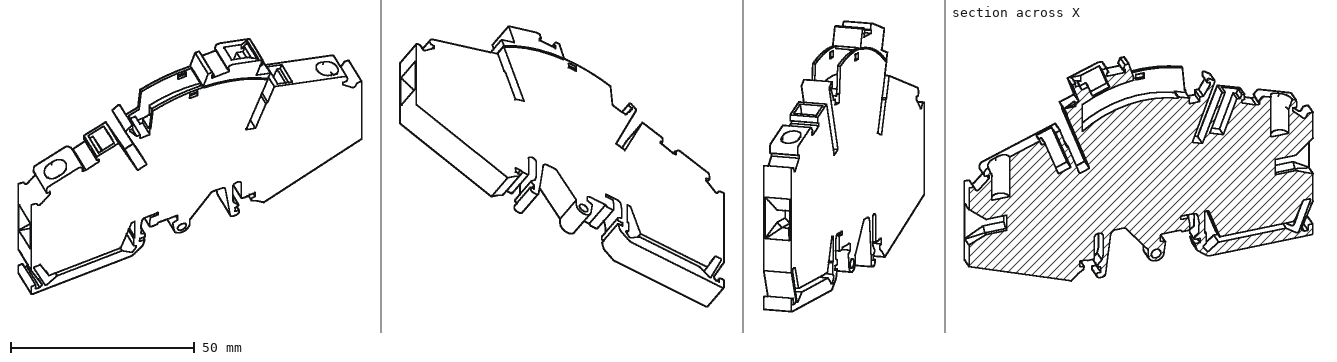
import cadquery as cq
import math

WIDTH = 8.1
LENGTH = 100.0
HEIGHT = 68.0
END = LENGTH / 2
SLOPE = 20.0

DOME_Y = -1.0
DOME_Z = 25.2
DOME_RADIUS = 37.8
SLOT_FLOOR_INNER_LEFT = (15.0, 36.7)
SLOT_FLOOR_INNER_RIGHT = (-15.0, 38.2)

HOLLOW_WIDTH = 6.5
DRUM_RADIUS = 30.0
HOLLOW_ROOF_RADIUS = 37.2
HOLLOW_START_Y = 17.0
HOLLOW_OPEN_Y = 2.1
DRUM_END_Y = -10.8
LEDGE_END_Y = -14.1
LEDGE_TOP_Z = 54.0
WELL_END_Y = -14.9
WELL_WIDTH = 2.8
WELL_FLOOR_Z = 49.0
NOTCH_END_Y = -17.0
NOTCH_FLOOR_Z = 51.0
SEAM_WIDTH = 0.3
SEAM_DEPTH = 0.2
SEAM_START_Y = 21.0
WINDOW_SIZE = (2.4, 1.7)
WINDOW_CENTER = (-0.8, 61.1)

SHAFT_RIMS = {1: (40.7, 44.9), -1: (-40.3, 46.7)}
SHAFT_X = 0.4
SHAFT_DIAMETER = 5.0
SHAFT_DEPTH = 12.0
MOUTH_SHIFT = 1.4

SOCKET_RIMS = {1: (27.1, 49.7), -1: (-26.9, 51.4)}
SOCKET_LENGTHS = {1: 4.7, -1: 5.0}
SOCKET_WIDTH = 6.5
SOCKET_DEPTH = 13.0
SOCKET_LEDGE_LENGTH = 1.0
SOCKET_LEDGE_DEPTH = 1.5

FUNNEL_SIZE = (7.1, 11.5)
FUNNEL_Z = 25.6
THROAT_SIZE = (4.7, 4.8)
FUNNEL_CORNER = 0.1
THROAT_CORNER = 1.4
THROAT_X = 0.3
THROAT_Z = 24.5
FUNNEL_DEPTH = 5.0
THROAT_DEPTH = 6.0

MARKER_SOCKET_RIM = (14.8, 66.7)
MARKER_SOCKET_WIDTH = 4.8
MARKER_SOCKET_LENGTH = 7.2
MARKER_SOCKET_DEPTH = 6.5
MARKER_LEDGE_LENGTH = 2.0
MARKER_LEDGE_DEPTH = 3.0
FLARE_FLOOR_Z = 64.2
FLARE_WIDTH = 7.1
FLARE_Y = (16.7, 19.0)
LIP_RECESS_Z = (57.8, 58.8)
LIP_RECESS_WIDTHS = (2.6, 1.2)
LIP_RECESS_Y = (19.0, 21.7)

PIVOT = (-4.4, 4.4)
PIVOT_RADIUS = 2.4
PIVOT_HOLE_DIAMETER = 2.6


def unit(start, end):
    """Unit vector and distance from start to end."""
    dy, dz = end[0] - start[0], end[1] - start[1]
    size = math.hypot(dy, dz)
    return dy / size, dz / size, size


def plate(corners, width=WIDTH):
    """Prism across X; each corner is (y, z) or (y, z, fillet radius)."""
    count = len(corners)
    pieces = []
    for i, corner in enumerate(corners):
        y, z = corner[:2]
        radius = corner[2] if len(corner) > 2 else 0
        if radius == 0:
            pieces.append(((y, z),))
            continue
        ay, az, _ = unit(corner, corners[i - 1])
        by, bz, _ = unit(corner, corners[(i + 1) % count])
        half = math.acos(ay * by + az * bz) / 2
        setback = radius / math.tan(half)
        my, mz, _ = unit((0, 0), (ay + by, az + bz))
        reach = radius / math.sin(half) - radius
        pieces.append((
            (y + ay * setback, z + az * setback),
            (y + my * reach, z + mz * reach),
            (y + by * setback, z + bz * setback),
        ))
    profile = cq.Workplane("YZ").moveTo(*pieces[0][-1])
    for piece in pieces[1:] + pieces[:1]:
        profile = profile.lineTo(*piece[0])
        if len(piece) == 3:
            profile = profile.threePointArc(piece[1], piece[2])
    return profile.close().extrude(width / 2, both=True)


def disc(y, z, radius, width=WIDTH):
    return cq.Workplane("YZ").center(y, z).circle(radius).extrude(width / 2, both=True)


def box(y_min, y_max, z_min, z_max, width):
    return plate([(y_min, z_min), (y_max, z_min), (y_max, z_max), (y_min, z_max)], width)


def make_body():
    left_end = [
        (20.3, 1.2), (END, 12.7, 0.4), (END, 38.4, 0.4), (48.5, 38.4, 0.5), (47.7, 36.6, 0.6),
        (44.2, 40.1), (44.2, 41.0), (45.3, 41.0, 0.3), (46.3, 42.9, 1.6), (23.5, 51.0),
    ]
    slots = [
        (21.5, 45.2), (21.0, 44.8), (17.8, 35.7), SLOT_FLOOR_INNER_LEFT,
        SLOT_FLOOR_INNER_RIGHT, (-17.8, 37.2), (-23.5, 52.5),
    ]
    right_shoulder = [
        (-30.1, 50.2), (-30.1, 48.6), (-29.4, 48.4), (-29.4, 47.7), (-33.4, 46.1), (-34.4, 46.1),
        (-34.4, 46.9), (-34.0, 47.1), (-35.3, 48.5, 0.7), (-45.2, 45.0, 0.9), (-45.4, 42.5, 0.5),
        (-44.2, 42.5), (-44.2, 41.6), (-47.6, 38.2, 0.5), (-48.4, 39.8, 0.4), (-END, 40.0, 0.3),
    ]
    right_foot = [
        (-END, 10.9), (-46.6, 2.5, 0.4), (-47.4, 1.8), (-48.5, 1.8), (-48.5, 3.6, 0.4),
        (-END, 3.6, 0.4), (-END, 0.0, 0.5), (-19.5, 0.0, 1.5), (-16.2, 2.7, 1.8), (-15.6, 5.1),
        (-17.1, 5.1), (-17.1, 6.3), (-15.5, 6.3, 0.2), (-15.5, 7.5, 0.4), (-16.7, 8.2, 0.4),
        (-16.8, 11.6), (-16.3, 14.8, 1.2),
    ]
    pivot_foot = [
        (-11.6, 14.8), (-11.6, 13.9), (-13.9, 13.9), (-14.2, 12.0), (-14.2, 9.7, 0.5),
        (-11.9, 9.7, 0.3), (-11.5, 10.3), (-5.6, 10.3, 0.7), (-5.6, 8.3), (-7.2, 7.6, 0.3),
        (PIVOT[0] - PIVOT_RADIUS, PIVOT[1]), (PIVOT[0] + PIVOT_RADIUS, PIVOT[1]), (-2.0, 6.2),
    ]
    snap_leg = [
        (4.6, 14.8, 0.5), (8.6, 14.8, 1.3), (10.3, 0.3, 1.1), (12.9, 0.3, 1.1), (12.9, 2.1, 0.2),
        (11.7, 2.1), (11.7, 3.6), (12.9, 4.4, 0.3), (11.4, 6.1), (11.0, 7.8), (11.0, 14.8, 1.2),
        (13.5, 14.8, 1.2), (13.5, 6.7, 0.4), (15.4, 6.7), (16.1, 7.0), (17.7, 7.0), (17.7, 5.4),
        (16.4, 5.1, 0.2), (16.6, 4.1, 0.4), (18.2, 3.1),
    ]
    body = plate(left_end + slots + right_shoulder + right_foot + pivot_foot + snap_leg)
    spring_gap = plate([
        (-18.6, 14.8), (-19.6, 14.8, 0.4), (-22.9, 5.5), (-44.6, 5.5), (-47.2, 11.8),
        (-49.3, 11.8, 0.3), (-45.6, 1.5, 0.5), (-42.1, 4.0), (-22.5, 4.0), (-19.4, 1.5, 0.5),
        (-18.0, 3.5, 0.5), (-19.0, 4.3), (-19.0, 7.5), (-18.6, 7.8),
    ])
    return (
        body.cut(spring_gap)
        .union(disc(*PIVOT, PIVOT_RADIUS))
        .cut(disc(*PIVOT, PIVOT_HOLE_DIAMETER / 2))
    )


def make_tower():
    sides = plate([
        SLOT_FLOOR_INNER_LEFT, (25.0, 65.0), (-12.8, 65.0), (-13.8, 53.5, 0.3), (-17.0, 52.5),
        (-18.1, 52.5), (-20.1, 55.9), (-20.1, 56.4), (-19.2, 56.4, 0.3), (-19.2, 58.3, 0.4),
        (-21.6, 56.6, 0.4), SLOT_FLOOR_INNER_RIGHT,
    ])
    return sides.intersect(disc(DOME_Y, DOME_Z, DOME_RADIUS))


def make_marker_block():
    return plate([
        (22.3, 57.7), (18.1, 59.2), (20.0, 64.9), (11.1, HEIGHT, 0.6), (9.9, HEIGHT, 0.4), (9.4, 66.6),
        (9.9, 66.3), (9.9, 65.5), (4.7, 65.5), (4.7, 66.4), (5.3, 66.4), (4.7, HEIGHT),
        (3.5, HEIGHT), (1.9, 62.8), (18.0, 54.0), (21.0, 54.5),
    ])


def cut_hollow(part):
    drum = disc(DOME_Y, DOME_Z, DRUM_RADIUS, HOLLOW_WIDTH)
    under_block = box(DRUM_END_Y, HOLLOW_START_Y, DOME_Z, HEIGHT, HOLLOW_WIDTH)
    under_block = under_block.intersect(disc(DOME_Y, DOME_Z, HOLLOW_ROOF_RADIUS, HOLLOW_WIDTH))
    opening = box(DRUM_END_Y, HOLLOW_OPEN_Y, DOME_Z, DOME_Z + DOME_RADIUS, HOLLOW_WIDTH)
    window = cq.Workplane("YZ").center(*WINDOW_CENTER).rect(*WINDOW_SIZE).extrude(WIDTH, both=True)
    return part.cut(under_block.union(opening).cut(drum)).cut(window)


def cut_notch(part):
    """Stepped recess between the drum and the hook, open through the +X wall at its end."""
    wall_x = HOLLOW_WIDTH / 2
    ledge_drop = (DRUM_END_Y - LEDGE_END_Y) * math.tan(math.radians(SLOPE))
    above_ledge = plate([
        (DRUM_END_Y, LEDGE_TOP_Z), (DRUM_END_Y, HEIGHT), (LEDGE_END_Y, HEIGHT),
        (LEDGE_END_Y, LEDGE_TOP_Z - ledge_drop),
    ], HOLLOW_WIDTH)
    end_width = WIDTH / 2 + wall_x
    end = box(NOTCH_END_Y, LEDGE_END_Y, NOTCH_FLOOR_Z, HEIGHT, end_width)
    end = end.translate((end_width / 2 - wall_x, 0, 0))
    well = box(WELL_END_Y, DRUM_END_Y, WELL_FLOOR_Z, HEIGHT, WELL_WIDTH)
    well = well.translate((WELL_WIDTH / 2 - wall_x, 0, 0))
    return part.cut(above_ledge).cut(end).cut(well)


def cut_seams(part):
    """Fine arc groove on both side faces where the marker block sits on the dome."""
    ring = disc(DOME_Y, DOME_Z, DOME_RADIUS).cut(disc(DOME_Y, DOME_Z, DOME_RADIUS - SEAM_WIDTH))
    core = box(-END, END, 0, HEIGHT, WIDTH - 2 * SEAM_DEPTH)
    stretch = box(HOLLOW_OPEN_Y, SEAM_START_Y, DOME_Z, HEIGHT, WIDTH)
    return part.cut(ring.intersect(stretch).cut(core))


def tilted_plane(side, y, z):
    """Plane on a shoulder with local x along +X and its normal leaning towards the end face."""
    angle = math.radians(SLOPE)
    return cq.Plane((0, y, z), (1, 0, 0), (0, side * math.sin(angle), math.cos(angle)))


def cut_shaft(part, side, y, z):
    """Screw shaft whose bore axis meets the sloped surface at (y, z)."""
    bore = cq.Workplane("XY", origin=(SHAFT_X, y, z + SHAFT_DIAMETER))
    bore = bore.circle(SHAFT_DIAMETER / 2).extrude(-SHAFT_DEPTH - SHAFT_DIAMETER)
    drop = MOUTH_SHIFT / math.tan(math.radians(SLOPE))
    mouth = cq.Workplane(tilted_plane(side, y, z - drop)).center(SHAFT_X, 0)
    mouth = mouth.circle(SHAFT_DIAMETER / 2).extrude(2 * drop)
    return part.cut(bore).cut(mouth)


def cut_socket(part, side, y, z, length, width, depth, ledge_length, ledge_depth):
    """Tilted rectangular socket with its rim centred on (y, z) and a ledge at its outer end."""
    plane = tilted_plane(side, y, z)
    rim = cq.Workplane(plane).rect(width, length).extrude(ledge_depth, both=True)
    bore = cq.Workplane(plane).center(0, -side * ledge_length / 2)
    bore = bore.rect(width, length - ledge_length).extrude(-depth)
    return part.cut(rim).cut(bore)


def cut_shoulder_socket(part, side):
    return cut_socket(
        part, side, *SOCKET_RIMS[side], SOCKET_LENGTHS[side], SOCKET_WIDTH, SOCKET_DEPTH,
        SOCKET_LEDGE_LENGTH, SOCKET_LEDGE_DEPTH,
    )


def funnel_section(size, corner, center=(0, 0)):
    """Rectangle with both lower corners cut off, as a list of points."""
    x, y = center
    half_width, half_height = size[0] / 2, size[1] / 2
    return [
        (x - half_width, y + half_height),
        (x - half_width, y - half_height + corner),
        (x - half_width + corner, y - half_height),
        (x + half_width - corner, y - half_height),
        (x + half_width, y - half_height + corner),
        (x + half_width, y + half_height),
    ]


def cut_funnel(part, side):
    plane = cq.Plane((0, side * END, FUNNEL_Z), (-side, 0, 0), (0, side, 0))
    mouth = funnel_section(FUNNEL_SIZE, FUNNEL_CORNER)
    throat = funnel_section(THROAT_SIZE, THROAT_CORNER, (-side * THROAT_X, THROAT_Z - FUNNEL_Z))
    funnel = cq.Workplane(plane).polyline(mouth).close()
    funnel = funnel.workplane(offset=-FUNNEL_DEPTH).polyline(throat).close().loft(ruled=True)
    bore = cq.Workplane(plane).workplane(offset=-FUNNEL_DEPTH)
    bore = bore.polyline(throat).close().extrude(-THROAT_DEPTH)
    return part.cut(funnel).cut(bore)


def flared_cutter(widths, y_range, floor_z):
    """Upright cutter reaching the top, with a trapezoid footprint across the given Y range."""
    near, far = widths[0] / 2, widths[1] / 2
    footprint = [(-near, y_range[0]), (near, y_range[0]), (far, y_range[1]), (-far, y_range[1])]
    return cq.Workplane("XY", origin=(0, 0, floor_z)).polyline(footprint).close().extrude(HEIGHT - floor_z)


def cut_marker_socket(part):
    part = cut_socket(
        part, 1, *MARKER_SOCKET_RIM, MARKER_SOCKET_LENGTH, MARKER_SOCKET_WIDTH, MARKER_SOCKET_DEPTH,
        MARKER_LEDGE_LENGTH, MARKER_LEDGE_DEPTH,
    )
    return part.cut(flared_cutter((MARKER_SOCKET_WIDTH, FLARE_WIDTH), FLARE_Y, FLARE_FLOOR_Z))


def make_lip_recess():
    """Shallow recess in the lip, kept clear of the block above it."""
    recess = flared_cutter(LIP_RECESS_WIDTHS, LIP_RECESS_Y, LIP_RECESS_Z[0])
    return recess.intersect(box(*LIP_RECESS_Y, *LIP_RECESS_Z, WIDTH))


part = make_body().union(make_tower()).union(make_marker_block())
part = cut_hollow(part)
part = cut_notch(part)
part = cut_seams(part)
part = cut_marker_socket(part)
part = part.cut(make_lip_recess())
for end_side in (1, -1):
    part = cut_shaft(part, end_side, *SHAFT_RIMS[end_side])
    part = cut_shoulder_socket(part, end_side)
    part = cut_funnel(part, end_side)
result = part